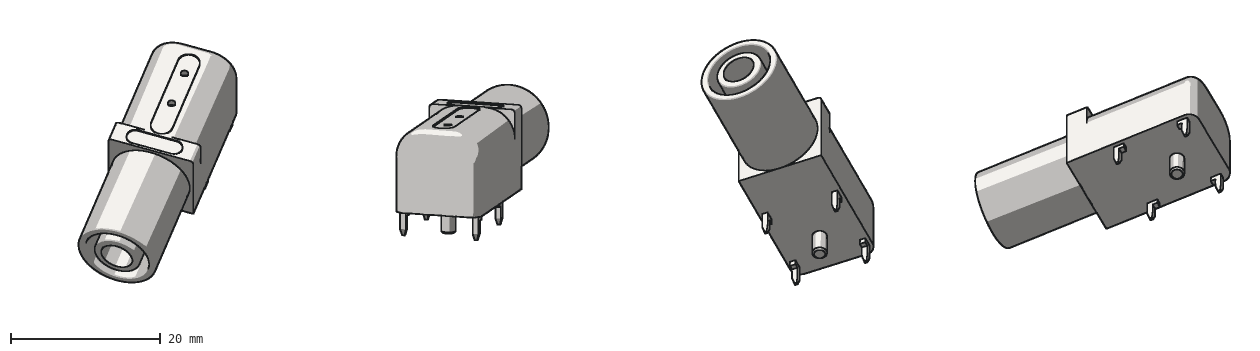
import cadquery as cq


EDGE_RADIUS = 0.25

HOUSING_WIDTH = 12.0
TOP_Z = 6.0
HOUSING_LENGTH = 19.0
COLLAR_LENGTH = 3.0
BODY_LENGTH = HOUSING_LENGTH - COLLAR_LENGTH
BODY_TOP_RADIUS = 4.0
BACK_RADIUS = 1.5
COLLAR_TOP_RADIUS = 0.5

BARREL_RADIUS = 11.0 / 2
BARREL_LENGTH = 14.0
BASE_Z = -BARREL_RADIUS
MOUTH_Y = -(HOUSING_LENGTH + BARREL_LENGTH)
GROOVE_OUTER_RADIUS = 9.0 / 2
GROOVE_INNER_RADIUS = 6.4 / 2
GROOVE_DEPTH = BARREL_LENGTH
BORE_RADIUS = 4.4 / 2
BORE_END_RADIUS = 4.2 / 2

RECESS_DEPTH = 0.2
LONG_RECESS_LENGTH = 14.0
LONG_RECESS_WIDTH = 3.0
COLLAR_RECESS_LENGTH = 7.8
COLLAR_RECESS_WIDTH = 2.3
VENT_DIAMETER = 1.0
VENT_DEPTH = 1.0
FIRST_VENT_Y = -5.2
VENT_SPACING = 5.3

PIN_RADIUS = 2.0 / 2
PIN_LENGTH = 3.5
PIN_CHAMFER = 0.25
PIN_Y = -5.5
CROSS_HOLE_RADIUS = 1.1 / 2
CROSS_HOLE_TOP_Z = 0.0
CROSS_HOLE_BOTTOM_Z = -BORE_RADIUS
BORE_END_OVERLAP = 0.5
BORE_END_Y = PIN_Y + BORE_END_OVERLAP

LEG_SPACING = 10.16
BACK_LEG_Y = -1.7
LEG_WIDTH = 0.8
LEG_LENGTH = 3.4
LEG_TIP_LENGTH = 0.9
LEG_TIP_WIDTH = 0.35
LEG_SHOULDER_HEIGHT = 0.8
LEG_SHOULDER_REACH = 0.7


def upright_box(length, front_y):
    """Full-section block of the housing, extending toward +Y from front_y."""
    height = TOP_Z - BASE_Z
    block = cq.Workplane("XY", origin=(0, front_y, BASE_Z))
    return block.box(HOUSING_WIDTH, length, height, centered=(True, False, False))


def make_housing():
    body = upright_box(BODY_LENGTH, -BODY_LENGTH)
    body = body.edges("|Y and >Z").fillet(BODY_TOP_RADIUS)
    body = body.faces(">Y").edges("not <Z").fillet(BACK_RADIUS)
    collar = upright_box(COLLAR_LENGTH, -HOUSING_LENGTH)
    collar = collar.edges("|Y and >Z").fillet(COLLAR_TOP_RADIUS)
    return body.union(collar)


def top_slot(length, width, center_y, angle):
    slot = cq.Workplane("XY").workplane(offset=TOP_Z - RECESS_DEPTH).center(0, center_y)
    return slot.slot2D(length, width, angle).extrude(RECESS_DEPTH)


def cut_top_details(part):
    long_center_y = -BODY_LENGTH + LONG_RECESS_LENGTH / 2
    collar_center_y = -BODY_LENGTH - COLLAR_LENGTH / 2
    part = part.cut(top_slot(LONG_RECESS_LENGTH, LONG_RECESS_WIDTH, long_center_y, 90))
    part = part.cut(top_slot(COLLAR_RECESS_LENGTH, COLLAR_RECESS_WIDTH, collar_center_y, 0))
    for vent_y in (FIRST_VENT_Y, FIRST_VENT_Y - VENT_SPACING):
        vent = cq.Workplane("XY").workplane(offset=TOP_Z).center(0, vent_y)
        part = part.cut(vent.circle(VENT_DIAMETER / 2).extrude(-RECESS_DEPTH - VENT_DEPTH))
    return part


def revolve_about_socket_axis(profile):
    """Revolve a closed profile of (radius, Y) points around the Y axis."""
    return profile.close().revolve(360, (0, 0, 0), (0, 1, 0))


def make_barrel():
    barrel = cq.Workplane("XZ", origin=(0, -HOUSING_LENGTH, 0)).circle(BARREL_RADIUS).extrude(BARREL_LENGTH)
    return barrel.faces("<Y").edges().fillet(EDGE_RADIUS)


def make_groove():
    """Ring-shaped plug space with a half-round floor and rounded rims, around the socket sleeve."""
    floor_radius = (GROOVE_OUTER_RADIUS - GROOVE_INNER_RADIUS) / 2
    floor_y = MOUTH_Y + GROOVE_DEPTH
    wall_end_y = floor_y - floor_radius
    rim_y = MOUTH_Y + EDGE_RADIUS
    profile = (
        cq.Workplane("XY")
        .moveTo(GROOVE_OUTER_RADIUS + EDGE_RADIUS, MOUTH_Y)
        .radiusArc((GROOVE_OUTER_RADIUS, rim_y), EDGE_RADIUS)
        .lineTo(GROOVE_OUTER_RADIUS, wall_end_y)
        .threePointArc((GROOVE_INNER_RADIUS + floor_radius, floor_y), (GROOVE_INNER_RADIUS, wall_end_y))
        .lineTo(GROOVE_INNER_RADIUS, rim_y)
        .radiusArc((GROOVE_INNER_RADIUS - EDGE_RADIUS, MOUTH_Y), EDGE_RADIUS)
    )
    return revolve_about_socket_axis(profile)


def make_bore():
    """Round bore of the sleeve, ending in a slightly narrower hemisphere."""
    sphere_y = BORE_END_Y - BORE_END_RADIUS
    profile = (
        cq.Workplane("XY")
        .moveTo(0, MOUTH_Y)
        .lineTo(BORE_RADIUS, MOUTH_Y)
        .lineTo(BORE_RADIUS, sphere_y)
        .lineTo(BORE_END_RADIUS, sphere_y)
        .radiusArc((0, BORE_END_Y), -BORE_END_RADIUS)
    )
    return revolve_about_socket_axis(profile)


def make_cross_hole():
    """Upright blind hole that breaks into the rounded end of the bore."""
    hole = cq.Workplane("XY", origin=(0, PIN_Y, CROSS_HOLE_BOTTOM_Z)).circle(CROSS_HOLE_RADIUS)
    return hole.extrude(CROSS_HOLE_TOP_Z - CROSS_HOLE_BOTTOM_Z)


def make_pin():
    pin = cq.Workplane("XY", origin=(0, PIN_Y, BASE_Z)).circle(PIN_RADIUS).extrude(-PIN_LENGTH)
    return pin.faces("<Z").edges().chamfer(PIN_CHAMFER)


def make_leg(x, y, inward):
    """Square leg with a pointed tip; its shoulder reaches along Y in the inward direction (+1 or -1)."""
    shank_length = LEG_LENGTH - LEG_TIP_LENGTH
    leg = cq.Workplane("XY", origin=(x, y, BASE_Z)).rect(LEG_WIDTH, LEG_WIDTH).extrude(-shank_length)
    tip = (
        cq.Workplane("XY", origin=(x, y, BASE_Z - shank_length))
        .rect(LEG_WIDTH, LEG_WIDTH)
        .workplane(offset=-LEG_TIP_LENGTH)
        .rect(LEG_TIP_WIDTH, LEG_TIP_WIDTH)
        .loft()
    )
    shoulder_y = y + inward * (LEG_WIDTH + LEG_SHOULDER_REACH) / 2
    shoulder = cq.Workplane("XY", origin=(x, shoulder_y, BASE_Z))
    shoulder = shoulder.rect(LEG_WIDTH, LEG_SHOULDER_REACH).extrude(-LEG_SHOULDER_HEIGHT)
    return leg.union(tip).union(shoulder)


def add_legs(part):
    for x in (-LEG_SPACING / 2, LEG_SPACING / 2):
        part = part.union(make_leg(x, BACK_LEG_Y, -1))
        part = part.union(make_leg(x, BACK_LEG_Y - LEG_SPACING, 1))
    return part


connector = cut_top_details(make_housing()).union(make_barrel())
connector = connector.cut(make_groove()).cut(make_bore()).cut(make_cross_hole())
result = add_legs(connector.union(make_pin()))